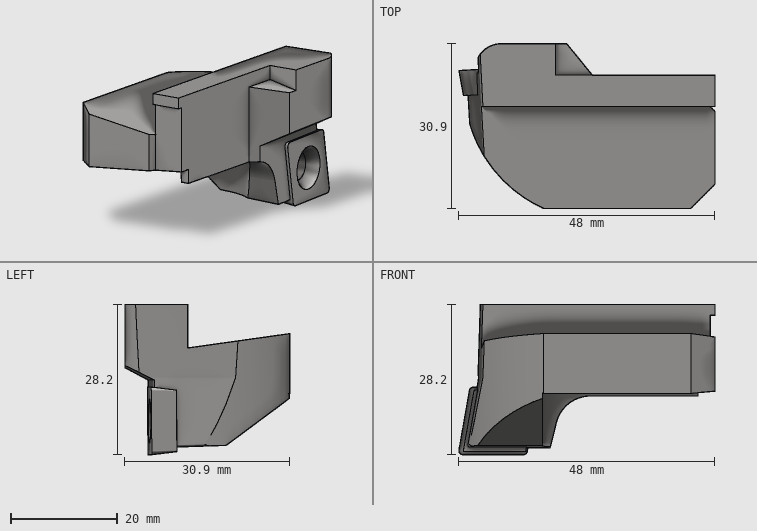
import cadquery as cq
import math


length = 47.99
depth = 30.9
height = 28.2
overshoot = 5.0

front_left_x = 15.9
nose_radius = 25.2
nose_centre = (26.2, 23.0)
end_chamfer = 4.55
rail_back_y = 25.0
head_corner_radius = 5.0
head_corner_x = 8.0
head_right_x = 20.2
head_foot_x = 25.0

rail_front_y = 19.1
ledge_front_z = 22.72
ledge_slope = math.radians(8)

lip_z = 26.1
lip_overhang = 0.9

side_skew = 3.0
side_top = (4.52, rail_front_y)
side_break_z = 14.45
upper_side_lean = math.radians(2)
lower_side_lean = math.radians(10)

block_bottom_z = 11.5
block_bottom_slope = 5.0
leg_slope_z = 10.64
leg_heel_y = 11.95
leg_heel_z = 1.75
leg_bottom_slope = math.radians(1.9)
leg_right_x = 15.7
leg_left_x = 1.8
leg_toe_x = 17.1
leg_toe_z = 1.27
leg_side_lean = math.radians(14)
leg_edge_radius = 0.4
web_radius = 10.3
pad_front_y = 23.3
pad_bottom_z = 11.0
pad_right_x = 44.8
throat_radius = 6.5

step_x = 18.1
step_z = 24.7
step_y = 28.7
step_slope = math.radians(12)
tool_angle = 3.3
tool_face_point = (3.5, 25.4)
relief_top_z = 14.0
relief_slope = math.radians(27)

inscribed_circle = 12.7
insert_thickness = 4.76
insert_corner_angle = math.radians(80)
insert_corner_radius = 0.8
insert_clearance = 7.0
insert_rake_y = 25.85
insert_hole = 5.5
insert_sink = 8.2
insert_sink_angle = 60.0


def on_circle(centre, radius, angle):
    return (centre[0] + radius * math.cos(angle), centre[1] + radius * math.sin(angle))


def bar_along_x(points, x_start, x_end):
    """Prism along X over a (y, z) outline."""
    return cq.Workplane("YZ").workplane(offset=x_start).polyline(points).close().extrude(x_end - x_start)


def plan_blank():
    cx, cy = nose_centre
    front_angle = math.atan2(-cy, front_left_x - cx)
    nose_middle = on_circle(nose_centre, nose_radius, (front_angle - math.pi) / 2)
    corner_centre = (head_corner_x, depth - head_corner_radius)
    return (
        cq.Workplane("XY")
        .moveTo(front_left_x, 0)
        .lineTo(length - end_chamfer, 0)
        .lineTo(length, end_chamfer)
        .lineTo(length, rail_back_y)
        .lineTo(head_foot_x, rail_back_y)
        .lineTo(head_right_x, depth)
        .lineTo(head_corner_x, depth)
        .threePointArc(
            on_circle(corner_centre, head_corner_radius, math.radians(135)),
            (head_corner_x - head_corner_radius, depth - head_corner_radius),
        )
        .lineTo(cx - nose_radius, cy)
        .threePointArc(nose_middle, (front_left_x, 0))
        .close()
        .extrude(height)
    )


def left_side_cut():
    drop = height - side_break_z
    break_x = -drop * math.tan(upper_side_lean)
    bottom_x = break_x - side_break_z * math.tan(lower_side_lean)
    plane = cq.Plane(origin=(side_top[0], side_top[1], 0), xDir=(1, 0, 0), normal=(0, -1, 0))
    plane = plane.rotated((0, side_skew, 0))
    far = bottom_x - overshoot
    return (
        cq.Workplane(plane)
        .polyline([(0, height), (break_x, side_break_z), (bottom_x, 0), (far, 0), (far, height)])
        .close()
        .extrude(2 * depth, both=True)
    )


def ledge_cut():
    back_z = ledge_front_z - rail_front_y * math.tan(ledge_slope)
    return bar_along_x(
        [(0, ledge_front_z), (rail_front_y, back_z), (rail_front_y, height), (0, height)],
        0, length,
    )


def end_slot_cut():
    x = length - lip_overhang
    return (
        cq.Workplane("XY")
        .polyline([
            (x, depth), (x, rail_front_y), (length, rail_front_y - lip_overhang),
            (length + overshoot, rail_front_y - lip_overhang), (length + overshoot, depth),
        ])
        .close()
        .extrude(lip_z)
    )


def leg_underside_cut():
    back_z = leg_heel_z - (depth - leg_heel_y) * math.tan(leg_bottom_slope)
    return bar_along_x(
        [(0, leg_slope_z), (leg_heel_y, leg_heel_z), (depth, back_z), (depth, -overshoot), (0, -overshoot)],
        0, length,
    )


def leg_bottom_left_edge():
    z = leg_heel_z - (rail_front_y - leg_heel_y) * math.tan(leg_bottom_slope)
    return cq.selectors.NearestToPointSelector((leg_left_x, rail_front_y, z))


def block_underside_cut():
    """Space right of the leg and in front of the pad, cut square to the sloping underside."""
    arc_start_y = pad_front_y - web_radius
    web_centre = (leg_right_x + web_radius, arc_start_y)
    plane = cq.Plane(origin=(0, 0, block_bottom_z)).rotated((block_bottom_slope, 0, 0))
    return (
        cq.Workplane(plane)
        .moveTo(leg_right_x, -overshoot)
        .lineTo(leg_right_x, arc_start_y)
        .threePointArc(
            on_circle(web_centre, web_radius, math.radians(135)),
            (web_centre[0], pad_front_y),
        )
        .lineTo(pad_right_x, pad_front_y)
        .lineTo(pad_right_x, depth + overshoot)
        .lineTo(length, depth + overshoot)
        .lineTo(length, -overshoot)
        .close()
        .extrude(-height)
    )


def throat_cut():
    """Space below the pad, rounded into the leaning side of the leg."""
    lean = math.tan(leg_side_lean)
    top_x = leg_toe_x + (pad_bottom_z - leg_toe_z) * lean
    bottom_x = leg_toe_x - leg_toe_z * lean
    return (
        cq.Workplane("XZ")
        .polyline([(bottom_x, 0), (top_x, pad_bottom_z), (length, pad_bottom_z), (length, 0)])
        .close()
        .extrude(-depth)
        .edges(cq.selectors.NearestToPointSelector((top_x, depth / 2, pad_bottom_z)))
        .fillet(throat_radius)
    )


def head_step_cut():
    front_z = step_z + (step_y - rail_back_y) * math.tan(step_slope)
    back_z = step_z - (depth - step_y) * math.tan(step_slope)
    return bar_along_x(
        [(rail_back_y, front_z), (depth, back_z), (depth, height), (rail_back_y, height)],
        step_x, length,
    )


def tool_relief_cut():
    rise = 2 * overshoot * math.tan(relief_slope)
    plane = cq.Plane(origin=(*tool_face_point, 0), xDir=(0, 1, 0), normal=(1, 0, 0))
    plane = plane.rotated((0, tool_angle, 0))
    return (
        cq.Workplane(plane)
        .polyline([(0, 0), (0, relief_top_z), (2 * overshoot, relief_top_z + rise), (2 * overshoot, 0)])
        .close()
        .extrude(length, both=True)
    )


def insert_blank():
    angle = math.radians(tool_angle)
    side = inscribed_circle / math.sin(insert_corner_angle)
    lean = side * math.cos(insert_corner_angle)
    tip_x = -insert_corner_radius * (1 / math.tan(insert_corner_angle / 2) - 1)
    plane = cq.Plane(
        origin=(tip_x, insert_rake_y, 0),
        xDir=(math.cos(angle), math.sin(angle), 0),
        normal=(math.sin(angle), -math.cos(angle), 0),
    )
    outline = (
        cq.Sketch()
        .polygon([(0, 0), (side, 0), (side + lean, inscribed_circle), (lean, inscribed_circle), (0, 0)])
        .vertices()
        .fillet(insert_corner_radius)
    )
    blank = cq.Workplane(plane).placeSketch(outline).extrude(insert_thickness, taper=insert_clearance)
    centre = ((side + lean) / 2, inscribed_circle / 2)
    return blank, cq.Workplane(plane).center(*centre)


def screw_hole(face):
    sink_depth = (insert_sink - insert_hole) / 2 / math.tan(math.radians(insert_sink_angle / 2))
    hole = face.circle(insert_hole / 2).extrude(insert_thickness)
    sink = face.circle(insert_sink / 2).extrude(sink_depth, taper=insert_sink_angle / 2)
    return hole.union(sink)


blank, rake_face = insert_blank()
insert = blank.cut(screw_hole(rake_face))

holder = plan_blank().cut(left_side_cut()).cut(leg_underside_cut())
holder = holder.edges(leg_bottom_left_edge()).fillet(leg_edge_radius)
for tool in (
    ledge_cut(), end_slot_cut(), block_underside_cut(), throat_cut(),
    head_step_cut(), tool_relief_cut(), blank,
):
    holder = holder.cut(tool)

result = cq.Compound.makeCompound([holder.solids().val(), insert.solids().val()])